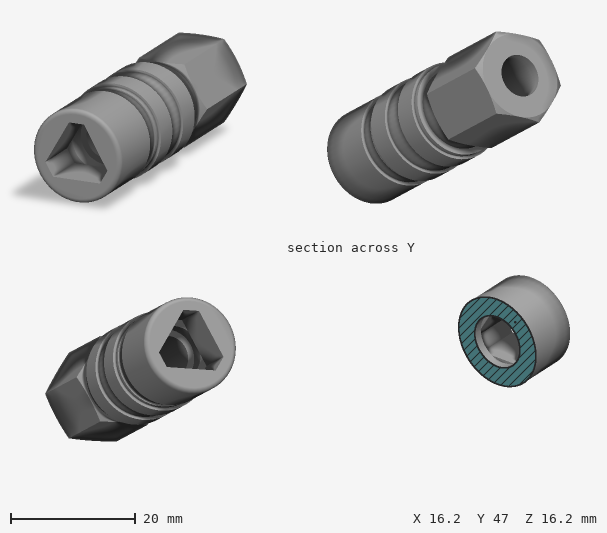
import cadquery as cq
import math

LENGTH = 47.0

BODY_RADIUS = 7.85
GROOVE_RADIUS = 7.3
SLEEVE_RADIUS = 7.6
BAND_RADIUS = 8.108
NECK_RADIUS = 6.65
FRONT_FILLET = 0.75

BODY_LENGTH = 11.0
GROOVE_LENGTH = 2.5
SLEEVE_LIP = 1.0
BAND_LENGTH = 4.25
BAND_GAP = 4.0
NECK_LENGTH = 3.05

HEX_FLATS = 14.0
HEX_CHAMFER_ANGLE = 30.0

SOCKET_INSCRIBED_RADIUS = 3.95
SOCKET_CORNER_DISTANCE = 5.6
SOCKET_DEPTH = 8.0
COUNTERBORE_RADIUS = 4.5
COUNTERBORE_DEPTH = BODY_LENGTH
BORE_RADIUS = 3.5


def cylinder(radius, start, length):
    """Cylinder on the Y axis, beginning at Y = start."""
    return cq.Workplane("XZ", origin=(0, start, 0)).circle(radius).extrude(-length)


def turned_body():
    """Filleted front body followed by the stepped cylindrical sections."""
    body = cylinder(BODY_RADIUS, 0, BODY_LENGTH).faces("<Y").edges().fillet(FRONT_FILLET)
    sections = [
        (GROOVE_RADIUS, GROOVE_LENGTH),
        (SLEEVE_RADIUS, SLEEVE_LIP),
        (BAND_RADIUS, BAND_LENGTH),
        (SLEEVE_RADIUS, BAND_GAP),
        (BAND_RADIUS, BAND_LENGTH),
        (SLEEVE_RADIUS, SLEEVE_LIP),
        (NECK_RADIUS, NECK_LENGTH),
    ]
    start = BODY_LENGTH
    for radius, length in sections:
        body = body.union(cylinder(radius, start, length))
        start += length
    return body, start


def hex_end(start):
    """Hexagon with flats facing +Z and -Z, both ends chamfered by a cone."""
    length = LENGTH - start
    flat_radius = HEX_FLATS / 2
    corner_radius = flat_radius / math.cos(math.radians(30))
    chamfer_height = (corner_radius - flat_radius) * math.tan(math.radians(HEX_CHAMFER_ANGLE))
    hexagon = (
        cq.Workplane("XZ", origin=(0, start, 0))
        .polygon(6, 2 * corner_radius)
        .extrude(-length)
    )
    chamfer_envelope = (
        cq.Workplane("XY")
        .moveTo(0, start)
        .lineTo(flat_radius, start)
        .lineTo(corner_radius, start + chamfer_height)
        .lineTo(corner_radius, LENGTH - chamfer_height)
        .lineTo(flat_radius, LENGTH)
        .lineTo(0, LENGTH)
        .close()
        .revolve(360, (0, 0, 0), (0, 1, 0))
    )
    return hexagon.intersect(chamfer_envelope)


def triangle_prism(inscribed_radius, point_up):
    """Equilateral triangular prism of socket depth, pointing to +Z or -Z."""
    first_angle = 90 if point_up else 270
    points = []
    for corner in range(3):
        angle = math.radians(first_angle + 120 * corner)
        reach = 2 * inscribed_radius
        points.append((reach * math.cos(angle), reach * math.sin(angle)))
    return cq.Workplane("XZ").polyline(points).close().extrude(-SOCKET_DEPTH)


def socket():
    """Triangular socket whose three corners are cut off square."""
    triangle = triangle_prism(SOCKET_INSCRIBED_RADIUS, True)
    corner_cut = triangle_prism(SOCKET_CORNER_DISTANCE, False)
    return triangle.intersect(corner_cut)


body, hex_start = turned_body()
result = (
    body.union(hex_end(hex_start))
    .cut(cylinder(BORE_RADIUS, 0, LENGTH))
    .cut(socket())
    .cut(cylinder(COUNTERBORE_RADIUS, SOCKET_DEPTH, COUNTERBORE_DEPTH - SOCKET_DEPTH))
)